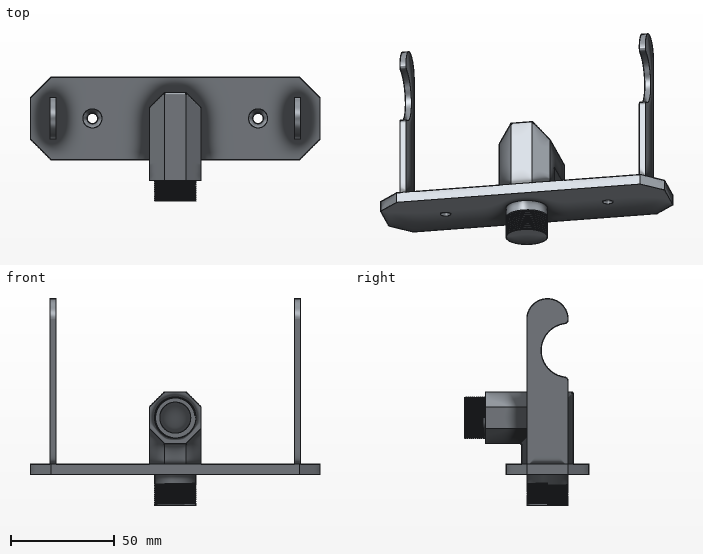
import cadquery as cq
import math

PLATE_LENGTH = 140.0
PLATE_WIDTH = 40.0
PLATE_THICKNESS = 5.0
PLATE_CORNER_CHAMFER = 10.0

SCREW_OFFSET_X = 40.0
SCREW_HOLE_DIAMETER = 5.0
COUNTERSINK_DIAMETER = 9.2
COUNTERSINK_ANGLE = 90.0

HOOK_OFFSET_X = 59.0
HOOK_THICKNESS = 3.0
HOOK_WIDTH = 20.0
HOOK_TOP_Z = 85.0
CRADLE_RADIUS = 13.0
CRADLE_CENTRE_Z = 60.0
HOOK_TIP_FILLET = 2.0

ELBOW_SIDES = 8
ELBOW_ACROSS_FLATS = 25.0
ELBOW_AXIS_Z = 27.5
ELBOW_FACE_Y = -30.0
MITRE_FILLET = 1.0
MITRE_TOLERANCE = 0.01

SPIGOT_DIAMETER = 20.0
THREAD_PITCH = 1.0
THREAD_DEPTH = 0.5
THREAD_GROOVE_WIDTH = 0.9
THREAD_OVERCUT = 0.05
OUTLET_LENGTH = 10.0
INLET_LENGTH = 15.0
INLET_PLAIN_LENGTH = 4.0
OUTLET_BORE_DIAMETER = 15.0
OUTLET_BORE_DEPTH = 20.0


def make_plate():
    """Flat plate with cut corners and two countersunk screw holes."""
    plate = (
        cq.Workplane("XY")
        .rect(PLATE_LENGTH, PLATE_WIDTH)
        .extrude(PLATE_THICKNESS)
        .edges("|Z")
        .chamfer(PLATE_CORNER_CHAMFER)
    )
    return (
        plate.faces(">Z")
        .workplane()
        .pushPoints([(-SCREW_OFFSET_X, 0), (SCREW_OFFSET_X, 0)])
        .cskHole(SCREW_HOLE_DIAMETER, COUNTERSINK_DIAMETER, COUNTERSINK_ANGLE)
    )


def make_hook(centre_x):
    """Round-topped upright with a circular cradle opening to +Y."""
    half_width = HOOK_WIDTH / 2
    shoulder_z = HOOK_TOP_Z - half_width
    cradle_bottom_z = CRADLE_CENTRE_Z - CRADLE_RADIUS
    cradle_top_z = CRADLE_CENTRE_Z + CRADLE_RADIUS
    hook = (
        cq.Workplane("YZ", origin=(centre_x - HOOK_THICKNESS / 2, 0, 0))
        .moveTo(-half_width, 0)
        .lineTo(half_width, 0)
        .lineTo(half_width, cradle_bottom_z)
        .threePointArc((half_width - CRADLE_RADIUS, CRADLE_CENTRE_Z), (half_width, cradle_top_z))
        .lineTo(half_width, shoulder_z)
        .threePointArc((0, HOOK_TOP_Z), (-half_width, shoulder_z))
        .close()
        .extrude(HOOK_THICKNESS)
    )
    cradle_tips = cq.selectors.BoxSelector(
        (centre_x - HOOK_THICKNESS, half_width - HOOK_TIP_FILLET, cradle_bottom_z - HOOK_TIP_FILLET),
        (centre_x + HOOK_THICKNESS, half_width + HOOK_TIP_FILLET, cradle_top_z + HOOK_TIP_FILLET),
    )
    return hook.edges("|X").edges(cradle_tips).fillet(HOOK_TIP_FILLET)


def lies_on_mitre(edge):
    """True for an edge on the 45 degree plane where the two elbow legs meet."""
    centre = edge.Center()
    return abs(centre.y - (centre.z - ELBOW_AXIS_Z)) < MITRE_TOLERANCE


def make_elbow():
    """Two octagonal legs meeting on a 45 degree mitre with rounded mitre edges."""
    half_side_angle = 180 / ELBOW_SIDES
    across_corners = ELBOW_ACROSS_FLATS / math.cos(math.radians(half_side_angle))
    path = (
        cq.Workplane("YZ")
        .moveTo(0, 0)
        .lineTo(0, ELBOW_AXIS_Z)
        .lineTo(ELBOW_FACE_Y, ELBOW_AXIS_Z)
    )
    elbow = (
        cq.Workplane("XY")
        .transformed(rotate=(0, 0, half_side_angle))
        .polygon(ELBOW_SIDES, across_corners)
        .sweep(path, transition="right")
    )
    mitre_edges = [edge for edge in elbow.edges().vals() if lies_on_mitre(edge)]
    return elbow.newObject(mitre_edges).fillet(MITRE_FILLET)


def make_threaded_spigot(length, thread_start, thread_end):
    """Upright spigot from Z = 0, with a helical groove centred between two heights."""
    radius = SPIGOT_DIAMETER / 2
    half_groove = THREAD_GROOVE_WIDTH / 2
    helix = cq.Wire.makeHelix(
        THREAD_PITCH, thread_end - thread_start, radius, center=cq.Vector(0, 0, thread_start)
    )
    groove = (
        cq.Workplane("XZ", origin=(radius, 0, thread_start))
        .polyline([(-THREAD_DEPTH, 0), (THREAD_OVERCUT, half_groove), (THREAD_OVERCUT, -half_groove)])
        .close()
        .sweep(helix, isFrenet=True)
    )
    blank = cq.Workplane("XY").circle(radius).extrude(length + 2 * THREAD_PITCH)
    trim = cq.Workplane("XY").circle(SPIGOT_DIAMETER).extrude(length)
    return blank.cut(groove).intersect(trim)


def make_outlet():
    """Spigot on the elbow face, its thread running out through the free end."""
    spigot = make_threaded_spigot(OUTLET_LENGTH, THREAD_PITCH / 2, OUTLET_LENGTH + THREAD_PITCH)
    return spigot.rotate((0, 0, 0), (1, 0, 0), 90).translate((0, ELBOW_FACE_Y, ELBOW_AXIS_Z))


def make_inlet():
    """Spigot under the plate, plain next to the plate and threaded to just short of its end."""
    half_pitch = THREAD_PITCH / 2
    spigot = make_threaded_spigot(INLET_LENGTH, INLET_PLAIN_LENGTH + half_pitch, INLET_LENGTH - half_pitch)
    return spigot.rotate((0, 0, 0), (1, 0, 0), 180)


def make_outlet_bore():
    """Blind bore running from the outlet end into the elbow."""
    return (
        cq.Workplane("XZ", origin=(0, ELBOW_FACE_Y - OUTLET_LENGTH, ELBOW_AXIS_Z))
        .circle(OUTLET_BORE_DIAMETER / 2)
        .extrude(-OUTLET_BORE_DEPTH)
    )


result = make_plate()
for side in (-1, 1):
    result = result.union(make_hook(side * HOOK_OFFSET_X))
result = result.union(make_elbow()).union(make_outlet()).union(make_inlet()).cut(make_outlet_bore())